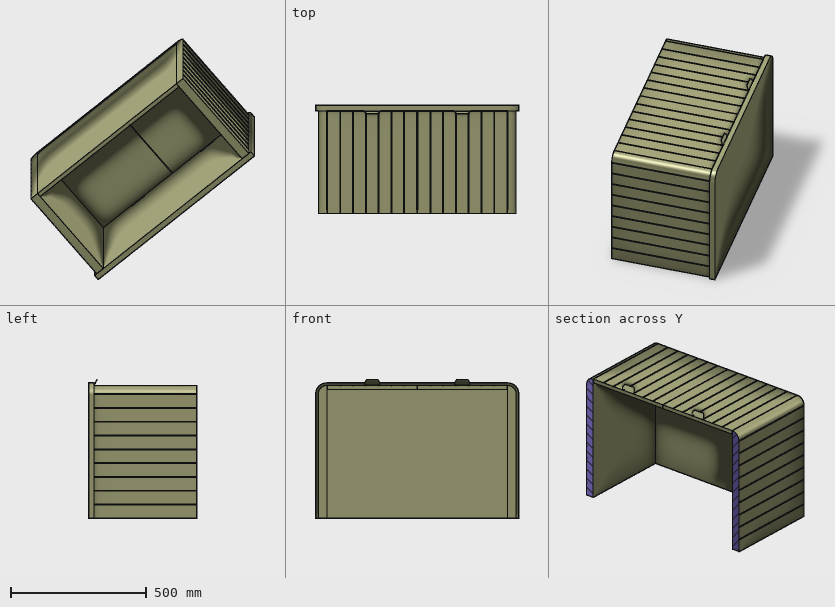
import cadquery as cq
import math

BACK_WIDTH = 750.0
BACK_HEIGHT = 500.0
BACK_THICKNESS = 21.0
TOTAL_DEPTH = 400.0
TOTAL_HEIGHT = 512.0
RIM = 10.0
CORNER_RADIUS = 32.0

BOX_WIDTH = BACK_WIDTH - 2 * RIM
BOX_HEIGHT = BACK_HEIGHT - RIM
BOX_DEPTH = TOTAL_DEPTH - BACK_THICKNESS
SIDE_THICKNESS = CORNER_RADIUS
OPENING_WIDTH = BOX_WIDTH - 2 * SIDE_THICKNESS
FRONT_THICKNESS = 15.0

LID_THICKNESS = 15.0
LID_GAP = 2.0
LID_BOTTOM = BOX_HEIGHT - LID_THICKNESS
LID_WIDTH = (OPENING_WIDTH - 3 * LID_GAP) / 2
LID_CENTRE = (LID_WIDTH + LID_GAP) / 2

GROOVE_WIDTH = 3.5
GROOVE_DEPTH = 1.5
SLATS_PER_LID = 7
LID_SLAT_PITCH = LID_WIDTH / SLATS_PER_LID
SIDE_SLATS = 9
SIDE_TANGENT_HEIGHT = BOX_HEIGHT - CORNER_RADIUS
SIDE_SLAT_PITCH = SIDE_TANGENT_HEIGHT / SIDE_SLATS

HANDLE_SHEET = 1.0
HANDLE_ROOT_WIDTH = 62.0
HANDLE_BLADE_WIDTH = 55.0
HANDLE_TIP_WIDTH = 42.0
HANDLE_REACH = 11.0
HANDLE_ROOT_RISE = 2.0
HANDLE_SHOULDER_DROP = 10.0
HANDLE_BEND_HEIGHT = BOX_HEIGHT + HANDLE_ROOT_RISE
HANDLE_SHOULDER_HEIGHT = TOTAL_HEIGHT - HANDLE_SHOULDER_DROP



def arched_outline(width, height, radius):
    """Upright rectangle standing on z = 0 with rounded upper corners, ready to extrude along Y."""
    half = width / 2
    lean = radius * (1 - math.sqrt(0.5))
    return (
        cq.Workplane("XZ")
        .moveTo(-half, 0)
        .lineTo(half, 0)
        .lineTo(half, height - radius)
        .threePointArc((half - lean, height - lean), (half - radius, height))
        .lineTo(radius - half, height)
        .threePointArc((lean - half, height - lean), (-half, height - radius))
        .close()
    )


def block(x_range, y_range, z_range):
    """Box given by its limits along each axis."""
    (x0, x1), (y0, y1), (z0, z1) = x_range, y_range, z_range
    return cq.Workplane("XY").box(x1 - x0, y1 - y0, z1 - z0, centered=False).translate((x0, y0, z0))


def groove_cutter():
    """V-shaped cutter along the box depth, with its mouth centred on the Y axis and facing up."""
    half = GROOVE_WIDTH / 2
    return (
        cq.Workplane("XZ")
        .polyline([(-half, 0), (half, 0), (0, -GROOVE_DEPTH)])
        .close()
        .extrude(BOX_DEPTH)
    )


def make_back_plate():
    plate = arched_outline(BACK_WIDTH, BACK_HEIGHT, CORNER_RADIUS + RIM)
    return plate.extrude(-BACK_THICKNESS)


def make_side(direction):
    """Side wall at -X (direction -1) or +X (direction 1), grooved on its outer face."""
    inner = direction * OPENING_WIDTH / 2
    outer = direction * BOX_WIDTH / 2
    side = arched_outline(BOX_WIDTH, BOX_HEIGHT, CORNER_RADIUS).extrude(BOX_DEPTH)
    side = side.intersect(block(sorted((inner, outer)), (-BOX_DEPTH, 0), (0, BOX_HEIGHT)))
    cutter = groove_cutter().rotate((0, 0, 0), (0, 1, 0), direction * 90)
    for slat in range(1, SIDE_SLATS + 1):
        side = side.cut(cutter.translate((outer, 0, slat * SIDE_SLAT_PITCH)))
    return side


def make_front_panel():
    half = OPENING_WIDTH / 2
    return block((-half, half), (-BOX_DEPTH, FRONT_THICKNESS - BOX_DEPTH), (0, LID_BOTTOM))


def make_lid(centre):
    half = LID_WIDTH / 2
    lid = block((centre - half, centre + half), (-BOX_DEPTH, -LID_GAP), (LID_BOTTOM, BOX_HEIGHT))
    cutter = groove_cutter()
    for slat in range(1, SLATS_PER_LID):
        lid = lid.cut(cutter.translate((centre - half + slat * LID_SLAT_PITCH, 0, BOX_HEIGHT)))
    return lid


def make_handle(centre):
    """Root in the gap behind the lid, with a blade leaning forward over it."""
    profile = (
        cq.Workplane("YZ")
        .moveTo(0, LID_BOTTOM)
        .lineTo(0, HANDLE_BEND_HEIGHT)
        .lineTo(HANDLE_SHEET - HANDLE_REACH, TOTAL_HEIGHT)
        .lineTo(-HANDLE_REACH, TOTAL_HEIGHT)
        .lineTo(-HANDLE_SHEET, HANDLE_BEND_HEIGHT)
        .lineTo(-HANDLE_SHEET, LID_BOTTOM)
        .close()
        .extrude(HANDLE_ROOT_WIDTH / 2, both=True)
    )
    root = HANDLE_ROOT_WIDTH / 2
    blade = HANDLE_BLADE_WIDTH / 2
    tip = HANDLE_TIP_WIDTH / 2
    face = (
        cq.Workplane("XZ")
        .polyline([
            (-root, LID_BOTTOM), (root, LID_BOTTOM),
            (root, HANDLE_BEND_HEIGHT), (blade, HANDLE_BEND_HEIGHT),
            (blade, HANDLE_SHOULDER_HEIGHT), (tip, TOTAL_HEIGHT),
            (-tip, TOTAL_HEIGHT), (-blade, HANDLE_SHOULDER_HEIGHT),
            (-blade, HANDLE_BEND_HEIGHT), (-root, HANDLE_BEND_HEIGHT),
        ])
        .close()
        .extrude(HANDLE_REACH)
    )
    return profile.intersect(face).translate((centre, 0, 0))


back_plate = make_back_plate()
front_panel = make_front_panel()
sides = [make_side(direction) for direction in (-1, 1)]
lids = [make_lid(centre) for centre in (-LID_CENTRE, LID_CENTRE)]
handles = [make_handle(centre) for centre in (-LID_CENTRE, LID_CENTRE)]

bodies = [back_plate, front_panel, *sides, *lids, *handles]
result = cq.Compound.makeCompound([body.val() for body in bodies])